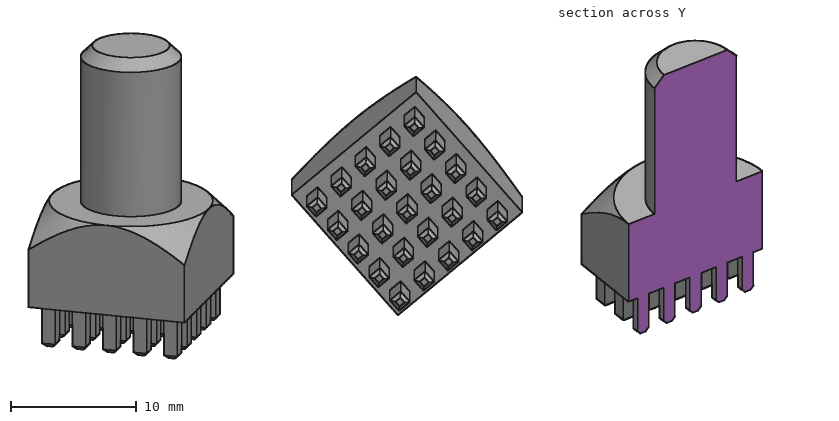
import cadquery as cq

body_side = 13.0
body_height = 7.5
corner_slope_angle = 45.0

stud_diameter = 8.0
stud_length = 13.0
stud_chamfer = 0.93

pin_count = 5
pin_pitch = 2.54
pin_width = 1.13
pin_length = 3.5
pin_chamfer = 0.31


def make_body():
    """Square block whose top corners are turned down by a cone tangent to the four sides."""
    block = cq.Workplane("XY").rect(body_side, body_side).extrude(body_height)
    envelope = (
        cq.Workplane("XY")
        .workplane(offset=body_height)
        .circle(body_side / 2)
        .extrude(-body_height, taper=-corner_slope_angle)
    )
    return block.intersect(envelope)


def make_stud():
    """Round stud standing on the body, with a chamfered tip."""
    return (
        cq.Workplane("XY")
        .workplane(offset=body_height)
        .circle(stud_diameter / 2)
        .extrude(stud_length)
        .faces(">Z")
        .chamfer(stud_chamfer)
    )


def make_pins():
    """Square grid of square pins hanging from the body, with chamfered tips."""
    return (
        cq.Workplane("XY")
        .rarray(pin_pitch, pin_pitch, pin_count, pin_count)
        .rect(pin_width, pin_width)
        .extrude(-pin_length)
        .faces("<Z")
        .chamfer(pin_chamfer)
    )


result = make_body().union(make_stud()).union(make_pins())